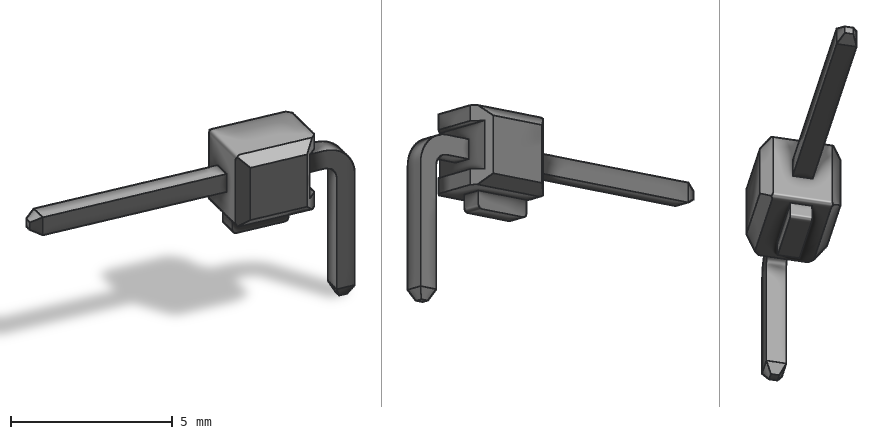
import cadquery as cq

total_length = 11.11
total_height = 6.29

body_width = 2.55
body_height = 2.53
body_length = 2.8
side_chamfer = 0.34
rear_chamfer = 0.5
front_edge_radius = 0.17
rear_notch_depth = 0.31
rear_notch_height = 1.53

standoff_width = 0.69
standoff_length = 1.93
standoff_height = 0.57
standoff_setback = 0.19
standoff_edge_radius = 0.14

pin_size = 0.63
bend_outer_radius = 1.05
tip_length = 0.35
tip_size = 0.27
mating_length = 6.69

pin_front = -mating_length
pin_back = total_length - mating_length
pin_bottom = body_height / 2 - total_height
leg_axis = pin_back - pin_size / 2


def make_body():
    """Block with bevelled sides, rounded front edges and a rear notch."""
    half_width = body_width / 2
    rear_flat = half_width - rear_chamfer
    front_flat = half_width - side_chamfer
    plan = [
        (-front_flat, 0),
        (front_flat, 0),
        (half_width, side_chamfer),
        (half_width, body_length - rear_chamfer),
        (rear_flat, body_length),
        (-rear_flat, body_length),
        (-half_width, body_length - rear_chamfer),
        (-half_width, side_chamfer),
    ]
    block = cq.Workplane("XY").polyline(plan).close().extrude(body_height / 2, both=True)
    bevelled_section = (
        cq.Workplane("XY")
        .box(body_width, body_length, body_height, centered=(True, False, True))
        .edges("|Y")
        .chamfer(side_chamfer)
    )
    rounded_profile = (
        cq.Workplane("XY")
        .box(body_width, body_length, body_height, centered=(True, False, True))
        .edges("|X and <Y")
        .fillet(front_edge_radius)
    )
    notch = cq.Workplane("XY").box(
        body_width, 2 * rear_notch_depth, rear_notch_height
    ).translate((0, body_length, 0))
    return block.intersect(bevelled_section).intersect(rounded_profile).cut(notch)


def make_standoff():
    """Foot below the body with rounded front and rear lower edges."""
    overlap = 0.11
    foot = (
        cq.Workplane("XY")
        .box(standoff_width, standoff_length, standoff_height + overlap, centered=(True, False, False))
        .edges("|X and <Z")
        .fillet(standoff_edge_radius)
    )
    return foot.translate((0, standoff_setback, -body_height / 2 - standoff_height))


def make_tip(base_plane):
    """Square frustum that tapers along the normal of its base plane."""
    return (
        cq.Workplane(base_plane)
        .rect(pin_size, pin_size)
        .workplane(offset=tip_length)
        .rect(tip_size, tip_size)
        .loft(ruled=True)
    )


def make_pin():
    """Right-angle pin: mating arm along Y, bend, and leg down along Z."""
    mating_base = pin_front + tip_length
    leg_base = pin_bottom + tip_length
    bend_axis_radius = bend_outer_radius - pin_size / 2
    path = (
        cq.Workplane("YZ")
        .moveTo(mating_base, 0)
        .lineTo(leg_axis - bend_axis_radius, 0)
        .tangentArcPoint((leg_axis, -bend_axis_radius), relative=False)
        .lineTo(leg_axis, leg_base)
    )
    mating_plane = cq.Plane(origin=(0, mating_base, 0), xDir=(1, 0, 0), normal=(0, -1, 0))
    leg_plane = cq.Plane(origin=(0, leg_axis, leg_base), xDir=(1, 0, 0), normal=(0, 0, -1))
    shank = cq.Workplane(mating_plane).rect(pin_size, pin_size).sweep(path)
    return shank.union(make_tip(mating_plane)).union(make_tip(leg_plane))


result = make_body().union(make_standoff()).union(make_pin())